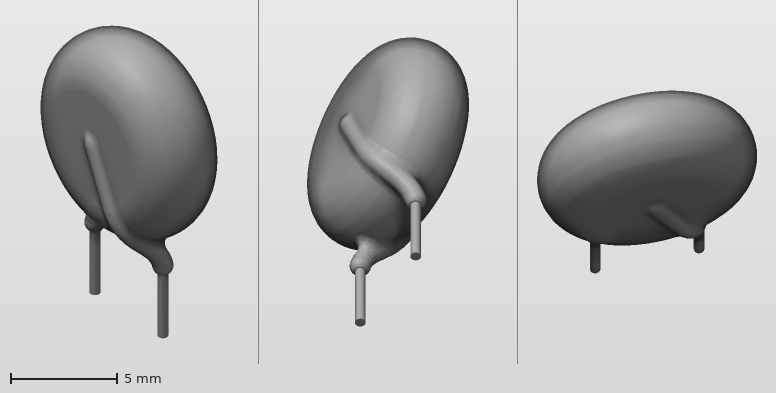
import cadquery as cq
import math

BODY_RADIUS = 5.25
BODY_THICKNESS = 4.5
RIM_RADIUS = BODY_THICKNESS / 2
FLAT_RADIUS = BODY_RADIUS - RIM_RADIUS

OVERALL_DEPTH = 5.0
OVERALL_HEIGHT = 15.25

LEAD_DIAMETER = 0.5
LEAD_PITCH = 5.0
LEAD_X = LEAD_PITCH / 2
LEAD_TIP_Z = BODY_RADIUS - OVERALL_HEIGHT

COAT_RADIUS = 0.5
COAT_SLOPE = math.radians(25)
COAT_FACE_Y = COAT_RADIUS - OVERALL_DEPTH / 2
RUN_START = cq.Vector(-0.03, COAT_FACE_Y, 0.12)
RUN_END_Z = -2.75
DOME_LENGTH = 0.76
BEND_MIDDLE = cq.Vector(2.14, -1.13, -4.51)
BEND_END = cq.Vector(LEAD_X, 0, -6.1)
BEND_END_DIRECTION = cq.Vector(0.1, 0.2, -1)
COAT_END_Z = -6.5

BLEND_RADIUS = 0.5

SURFACE_TOLERANCE = 0.002
SEAM_SAMPLES = 5


def make_body():
    """Disc revolved about the Y axis from a half section with a round rim."""
    section = (
        cq.Workplane("XY")
        .moveTo(0, -RIM_RADIUS)
        .lineTo(FLAT_RADIUS, -RIM_RADIUS)
        .threePointArc((BODY_RADIUS, 0), (FLAT_RADIUS, RIM_RADIUS))
        .lineTo(0, RIM_RADIUS)
        .close()
    )
    return section.revolve(360, (0, 0, 0), (0, 1, 0))


def make_run(slope, length):
    """Straight round run along the slope, with a half-ellipsoid dome at its start."""
    across = cq.Vector(0, 1, 0)
    section = (
        cq.Workplane(cq.Plane(RUN_START, across, across.cross(slope)))
        .moveTo(0, length)
        .lineTo(COAT_RADIUS, length)
        .lineTo(COAT_RADIUS, 0)
        .ellipseArc(COAT_RADIUS, DOME_LENGTH, 270, 360, sense=-1, startAtCurrent=True)
        .close()
    )
    return section.revolve(360, (0, 0, 0), (0, 1, 0))


def make_bend(start, direction):
    """Round coating swept along a smooth curve from the sloping run to the lead axis."""
    path = cq.Edge.makeSpline(
        [start, BEND_MIDDLE, BEND_END],
        tangents=[direction, BEND_END_DIRECTION.normalized()],
    )
    return (
        cq.Workplane(cq.Plane(start, (0, 1, 0), direction))
        .circle(COAT_RADIUS)
        .sweep(cq.Workplane(path))
    )


def make_coating_end():
    """Ball that closes the bend, cut flat where the bare lead comes out."""
    ball = cq.Workplane("XY").sphere(COAT_RADIUS).translate(BEND_END)
    keep = (
        cq.Workplane("XY", origin=(LEAD_X, 0, COAT_END_Z))
        .circle(2 * COAT_RADIUS)
        .extrude(2 * COAT_RADIUS)
    )
    return ball.intersect(keep)


def make_coating():
    """Complete coating of the lead on the -Y face."""
    slope = cq.Vector(math.sin(COAT_SLOPE), 0, -math.cos(COAT_SLOPE))
    run_length = (RUN_START.z - RUN_END_Z) / math.cos(COAT_SLOPE)
    bend_start = RUN_START + slope * run_length
    run = make_run(slope, run_length)
    return run.union(make_bend(bend_start, slope)).union(make_coating_end())


def make_lead():
    """Bare lead from inside the coating down to its tip."""
    return (
        cq.Workplane("XY", origin=(LEAD_X, 0, LEAD_TIP_Z))
        .circle(LEAD_DIAMETER / 2)
        .extrude(BEND_END.z - LEAD_TIP_Z)
    )


def with_opposite(base, shape):
    """Add a shape to the base, and again turned half a revolution about Z."""
    return base.union(shape).union(shape.rotate((0, 0, 0), (0, 0, 1), 180))


def on_body(point):
    """True for a point on the surface of the disc body."""
    rim_offset = max(math.hypot(point.x, point.z) - FLAT_RADIUS, 0)
    return abs(math.hypot(rim_offset, point.y) - RIM_RADIUS) < SURFACE_TOLERANCE


def is_coating_seam(edge):
    """True for an edge where a coating meets the body; the body's own edges are circles."""
    samples = [edge.positionAt(step / (SEAM_SAMPLES - 1)) for step in range(SEAM_SAMPLES)]
    return edge.geomType() != "CIRCLE" and all(on_body(point) for point in samples)


coated_body = with_opposite(make_body(), make_coating())
seams = [edge for edge in coated_body.edges().vals() if is_coating_seam(edge)]
blended_body = coated_body.newObject(seams).fillet(BLEND_RADIUS)
result = with_opposite(blended_body, make_lead())